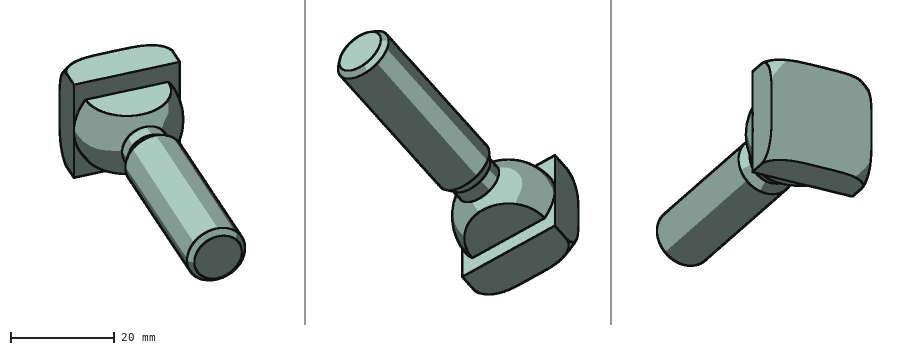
import cadquery as cq
import math

total_length = 58.0
head_width = 22.0
head_thickness = 8.0

face_circle_radius = 11.15
corner_rounding_depth = 4.35

ball_radius = head_width / 2
ball_flat_height = 13.75

neck_radius = 4.75
shank_radius = 6.05
neck_end = 20.9
shank_start = 23.0
tip_chamfer = 1.1


def make_head():
    """Square plate whose front corners are rounded by a turned profile."""
    plate = cq.Workplane("YZ").rect(head_width, head_width).extrude(head_thickness)
    corner_radius = head_width / math.sqrt(2)
    rounding_width = corner_radius - face_circle_radius
    diagonal = math.sqrt(0.5)
    arc_middle = (
        corner_rounding_depth * (1 - diagonal),
        face_circle_radius + rounding_width * diagonal,
    )
    turned = (
        cq.Workplane("XY")
        .lineTo(0, face_circle_radius)
        .threePointArc(arc_middle, (corner_rounding_depth, corner_radius))
        .lineTo(head_thickness, corner_radius)
        .lineTo(head_thickness, 0)
        .close()
        .revolve(360, (0, 0, 0), (1, 0, 0))
    )
    return plate.intersect(turned)


def make_ball():
    """Half ball behind the head, with flat top and bottom."""
    ball = cq.Workplane("XY").sphere(ball_radius)
    slab = cq.Workplane("XY").box(
        ball_radius, head_width, ball_flat_height, centered=(False, True, True)
    )
    return ball.intersect(slab).translate((head_thickness, 0, 0))


def make_shank():
    """Neck, cone, cylinder and chamfered tip turned about X."""
    return (
        cq.Workplane("XY")
        .moveTo(head_thickness, 0)
        .lineTo(head_thickness, neck_radius)
        .lineTo(neck_end, neck_radius)
        .lineTo(shank_start, shank_radius)
        .lineTo(total_length - tip_chamfer, shank_radius)
        .lineTo(total_length, shank_radius - tip_chamfer)
        .lineTo(total_length, 0)
        .close()
        .revolve(360, (0, 0, 0), (1, 0, 0))
    )


result = make_head().union(make_ball()).union(make_shank())